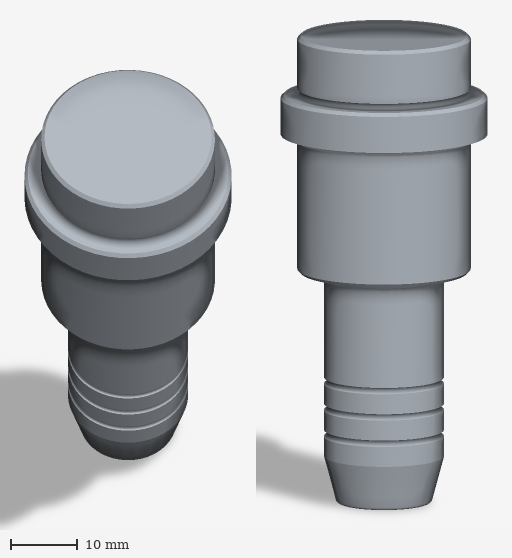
import cadquery as cq
import math

total_height = 71.0

flange_radius = 15.5
body_radius = 13.0
stem_radius = 9.0
neck_radius = 8.5

head_length = 9.0
flange_length = 6.0
body_length = 21.0
neck_length = 1.0
stem_length = 27.0

tip_angle = 15.0
tip_fillet = 0.5

edge_chamfer = 0.5
groove_radius = 0.5
stem_groove_count = 3
stem_groove_pitch = 4.0

flange_top = total_height - head_length
flange_bottom = flange_top - flange_length
body_bottom = flange_bottom - body_length
stem_top = body_bottom - neck_length
tip_top = stem_top - stem_length


def cylinder(radius, bottom, top):
    """Solid cylinder on the Z axis between two levels."""
    return cq.Workplane("XY").workplane(offset=bottom).circle(radius).extrude(top - bottom)


def make_tip():
    """Tapered tip with a rounded edge round its end face."""
    end_radius = stem_radius - tip_top * math.tan(math.radians(tip_angle))
    profile = [(0, 0), (end_radius, 0), (stem_radius, tip_top), (0, tip_top)]
    tip = cq.Workplane("XZ").polyline(profile).close().revolve(360, (0, 0), (0, 1))
    return tip.faces("<Z").edges().fillet(tip_fillet)


def groove(radius, center_height):
    """Ring that cuts a half-round groove, in two quarter arcs, into a cylinder of the given radius."""
    bottom = (radius, center_height - groove_radius)
    root = (radius - groove_radius, center_height)
    top = (radius, center_height + groove_radius)
    section = cq.Workplane("XZ").moveTo(*bottom)
    section = section.radiusArc(root, groove_radius).radiusArc(top, groove_radius).close()
    return section.revolve(360, (0, 0), (0, 1), clean=False)


head = cylinder(body_radius, flange_top, total_height).faces(">Z").chamfer(edge_chamfer)
head = head.cut(groove(body_radius, flange_top + groove_radius), clean=False)

flange = cylinder(flange_radius, flange_bottom, flange_top).faces(">Z").chamfer(edge_chamfer)

body = cylinder(body_radius, body_bottom, flange_bottom).faces("<Z").chamfer(edge_chamfer)
body = body.cut(groove(body_radius, flange_bottom - groove_radius), clean=False)

neck = cylinder(neck_radius, stem_top, body_bottom)
stem = cylinder(stem_radius, tip_top, stem_top)
lowest_groove = tip_top + stem_groove_pitch - groove_radius
for index in range(stem_groove_count):
    stem = stem.cut(groove(stem_radius, lowest_groove + index * stem_groove_pitch), clean=False)

shank = make_tip().union(stem, clean=False).union(neck, clean=False)
result = shank.union(body, clean=False).union(flange, clean=False).union(head, clean=False)